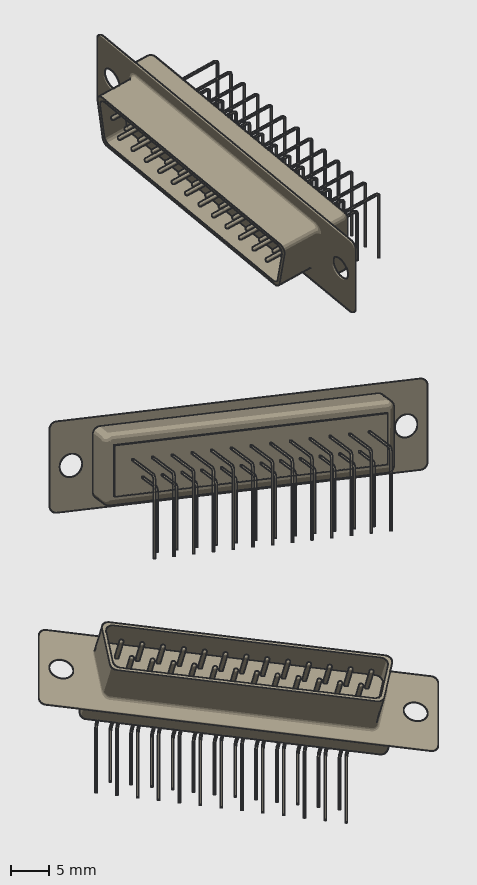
import cadquery as cq
import math


plate_length = 53.1
plate_height = 12.5
plate_thickness = 0.3
plate_corner_radius = 1.0
plate_edge_radius = 0.1
mount_hole_diameter = 3.2
mount_hole_spacing = 47.1

shell_mid_width = 37.6
shell_height = 7.9
shell_depth = 5.85
shell_side_angle = math.radians(10)
shell_corner_radius = 1.0
shell_wall = 0.5
shell_root_fillet = 0.6
cavity_floor_setback = 2.1

body_length = 41.05
body_height = 9.95
body_depth = 4.05
body_corner_radius = 1.0
body_rear_fillet = 0.95
pad_length = 38.35
pad_height = 7.0
pad_thickness = 0.3

top_row_count = 13
bottom_row_count = top_row_count - 1
top_row_span = 33.25
pin_pitch = top_row_span / (top_row_count - 1)
row_spacing = 2.55
pin_diameter = 0.6
pin_tip_fillet = 0.2
pin_tip_setback = 0.2
leg_diameter = 0.3
leg_bend_radius = 0.6

overall_depth = 18.2
overall_height = 16.25

body_rear = plate_thickness + body_depth
pad_rear = body_rear + pad_thickness
cavity_floor = -cavity_floor_setback
pin_tip = pin_tip_setback - shell_depth
top_leg_y = overall_depth - shell_depth - leg_diameter / 2
bottom_leg_y = top_leg_y - row_spacing
leg_bottom = plate_height / 2 - overall_height


def box_along_y(length, height, y_front, y_rear):
    """Block centred on X and Z, between two Y positions."""
    return cq.Workplane("XZ", origin=(0, y_rear, 0)).rect(length, height).extrude(y_rear - y_front)


def d_prism(inset, y_front, y_rear):
    """D-shaped prism, wider at the top, set in from the shell's outer outline."""
    half_height = shell_height / 2 - inset
    half_mid = shell_mid_width / 2 - inset / math.cos(shell_side_angle)
    side_run = half_height * math.tan(shell_side_angle)
    corners = [
        (-half_mid - side_run, half_height),
        (half_mid + side_run, half_height),
        (half_mid - side_run, -half_height),
        (-half_mid + side_run, -half_height),
    ]
    prism = cq.Workplane("XZ", origin=(0, y_rear, 0)).polyline(corners).close().extrude(y_rear - y_front)
    return prism.edges("|Y").fillet(shell_corner_radius)


def mounting_plate():
    """Thin plate with two screw holes; its rims are slightly rounded."""
    plate = box_along_y(plate_length, plate_height, 0, plate_thickness)
    plate = plate.edges("|Y").fillet(plate_corner_radius)
    holes = (
        cq.Workplane("XZ", origin=(0, plate_thickness, 0))
        .pushPoints([(-mount_hole_spacing / 2, 0), (mount_hole_spacing / 2, 0)])
        .circle(mount_hole_diameter / 2)
        .extrude(plate_thickness)
    )
    return plate.cut(holes).faces("<Y or >Y").edges().fillet(plate_edge_radius)


def plate_with_shell():
    """Plate and hollow shell, flared where the shell meets the plate."""
    solid = mounting_plate().union(d_prism(0, -shell_depth, plate_thickness))
    reach_x = (mount_hole_spacing - mount_hole_diameter) / 2
    reach_y = plate_edge_radius / 4
    reach_z = (shell_height + plate_height) / 4
    root_zone = cq.selectors.BoxSelector((-reach_x, -reach_y, -reach_z), (reach_x, reach_y, reach_z))
    solid = solid.edges(root_zone).fillet(shell_root_fillet)
    return solid.cut(d_prism(shell_wall, -shell_depth, cavity_floor))


def insulator():
    """Rounded block behind the plate, with a thin pad on its rear face."""
    body = box_along_y(body_length, body_height, plate_thickness, body_rear)
    body = body.edges("|Y").fillet(body_corner_radius)
    body = body.faces(">Y").edges().fillet(body_rear_fillet)
    return body.union(box_along_y(pad_length, pad_height, body_rear, pad_rear))


def contact_pin(x, z):
    """Round pin with a rounded tip, standing inside the shell and rooted in the plate."""
    pin = (
        cq.Workplane("XZ", origin=(x, plate_thickness, z))
        .circle(pin_diameter / 2)
        .extrude(plate_thickness - pin_tip)
    )
    return pin.faces("<Y").edges().fillet(pin_tip_fillet).val()


def contact_leg(x, z, leg_y):
    """Thin round leg that runs back from the body and bends down at leg_y."""
    bend_start_y = leg_y - leg_bend_radius
    bend_end_z = z - leg_bend_radius
    bend_middle = leg_bend_radius * math.sin(math.radians(45))
    path = (
        cq.Workplane("YZ", origin=(x, 0, 0))
        .moveTo(body_rear, z)
        .lineTo(bend_start_y, z)
        .threePointArc((bend_start_y + bend_middle, bend_end_z + bend_middle), (leg_y, bend_end_z))
        .lineTo(leg_y, leg_bottom)
    )
    return cq.Workplane("XZ", origin=(x, body_rear, z)).circle(leg_diameter / 2).sweep(path).val()


def contact_row(count, z, leg_y):
    """Pins and legs of one row, centred on X = 0."""
    solids = []
    for index in range(count):
        x = (index - (count - 1) / 2) * pin_pitch
        solids.append(contact_pin(x, z))
        solids.append(contact_leg(x, z, leg_y))
    return solids


top_row = contact_row(top_row_count, row_spacing / 2, top_leg_y)
bottom_row = contact_row(bottom_row_count, -row_spacing / 2, bottom_leg_y)

housing = plate_with_shell().union(insulator())
connector = housing.val().fuse(*top_row, *bottom_row)
result = cq.Workplane(connector.Solids()[0])